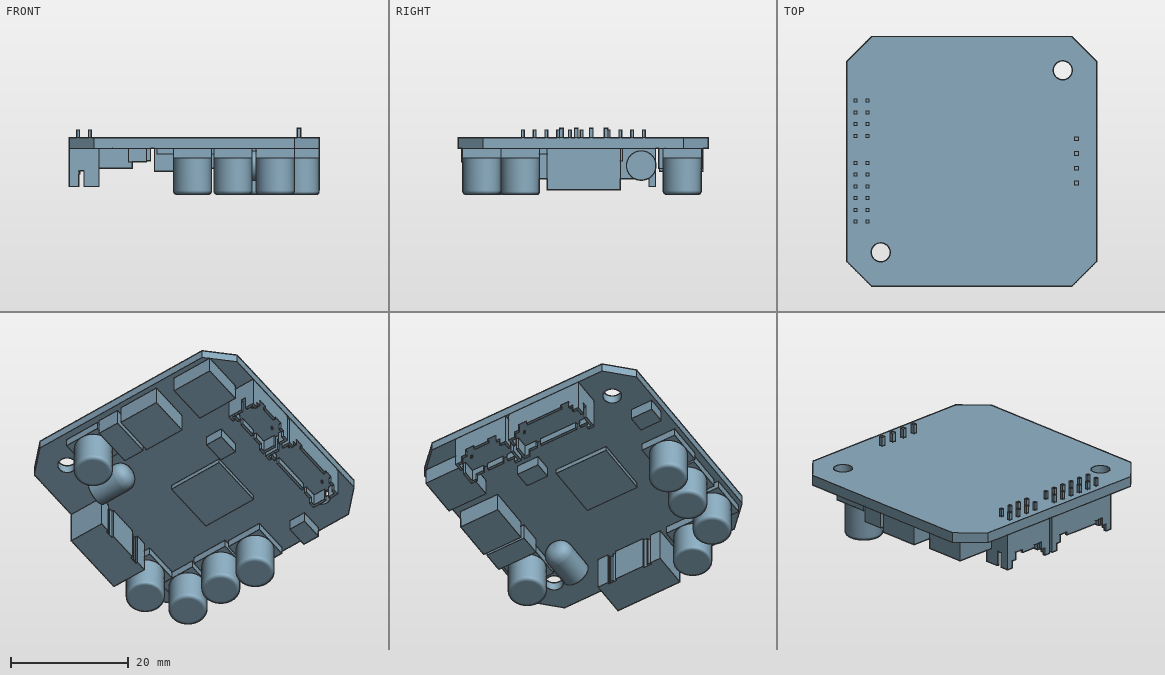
import cadquery as cq

BOARD_SIDE = 42.5
BOARD_THICKNESS = 1.83
BOARD_CORNER_CUT = 4.25
MOUNT_HOLE_DIAMETER = 3.2
MOUNT_HOLE_OFFSET = 15.45
BOARD_EDGE = BOARD_SIDE / 2

CAN_DIAMETER = 6.5
CAN_HEIGHT = 7.85
CAN_BASE_HEIGHT = 1.6
WIDE_RIM = 0.65
NARROW_RIM = 0.45
CAN_ROW_Y = -17.25
CAN_STEP_BACK = 0.42
CANS = [
    (-0.3, CAN_ROW_Y, WIDE_RIM),
    (6.6, CAN_ROW_Y + CAN_STEP_BACK, WIDE_RIM),
    (13.75, CAN_ROW_Y, WIDE_RIM),
    (17.98, -10.7, NARROW_RIM),
    (9.0, 16.85, WIDE_RIM),
]

COIL_SIDE = 7.45
COIL_Y = 12.9
COIL_HEIGHT = 3.4
TALL_COIL_HEIGHT = 3.9
CHIP_SIDE = 10.0
CHIP_HEIGHT = 0.98
SMALL_BLOCK_LENGTH = 4.1
BLOCKS = [
    (-17.95, COIL_Y, COIL_SIDE, COIL_SIDE, COIL_HEIGHT),
    (-6.75, COIL_Y, COIL_SIDE, COIL_SIDE, TALL_COIL_HEIGHT),
    (1.5, 12.8, 3.82, COIL_SIDE, COIL_HEIGHT),
    (-6.3, -8.5, CHIP_SIDE, CHIP_SIDE, CHIP_HEIGHT),
    (-11.15, -20.65, 3.05, SMALL_BLOCK_LENGTH, 2.3),
    (-10.45, 2.55, 3.05, SMALL_BLOCK_LENGTH, 2.12),
]

ROW_PITCH = 2.0
ROW_PIN_SIDE = 0.5
ROW_PIN_RISE = 1.3
FIRST_ROW_X = -19.7
ROW_PIN_X = (FIRST_ROW_X, FIRST_ROW_X + ROW_PITCH)
SHELL_WIDTH = 5.1
SHELL_HEIGHT = 6.5
SHELL_LEG = 1.15
SHELL_BODY_DEPTH = 5.2
SHELL_WALL = 0.42
SLOT_OFFSET = 1.65
SLOT_WIDTH = 0.85
SLOT_TOP = 3.82
WALL_MIDDLE_DEPTH = 4.38
WINDOW_START = 1.95
WINDOW_END = 3.55
PASSAGE_START = 2.65
PASSAGE_END = 3.45
LATCH_END = 2.3
LATCH_THICKNESS = 0.15
SMALL_CONNECTOR = (7.3, 4)
LARGE_CONNECTOR = (-5.25, 6)

SIDE_PITCH = 2.5
SIDE_PIN_COUNT = 4
SIDE_PIN_SIDE = 0.65
SIDE_PIN_RISE = 1.6
SIDE_PIN_X = 17.8
SIDE_CENTER_Y = 0.1
SIDE_DEPTH = 6.38
SIDE_LENGTH = 12.4
SIDE_HEIGHT = 7.05
CHANNEL_INNER = 2.75
CHANNEL_OUTER = 4.25
CHANNEL_DEPTH = 0.35
POCKET_INNER = 3.4
POCKET_OUTER = 4.1
POCKET_DEPTH = 2 * CHANNEL_DEPTH
POCKET_HEIGHT = 6.67

LAMP_DIAMETER = 5.0
LAMP_NOSE_X = 6.15
LAMP_LENGTH = 7.22
LAMP_NOSE_ROUND = 2.0
LAMP_Y = 9.85
LAMP_Z = -2.95


def hanging_box(x, y, x_size, y_size, top_depth, bottom_depth):
    """Box from its smallest X and Y, between two depths below the board."""
    box = cq.Workplane("XY").box(x_size, y_size, bottom_depth - top_depth, centered=False)
    return box.translate((x, y, -bottom_depth))


def pin_box(x, y, side, rise):
    """Square pin from the board's underside to its tip above the board."""
    pin = cq.Workplane("XY").box(side, side, BOARD_THICKNESS + rise, centered=(True, True, False))
    return pin.translate((x, y, 0))


def spread(center, count, pitch):
    """Evenly pitched positions around a centre."""
    return [center + (i - (count - 1) / 2) * pitch for i in range(count)]


def row_pins(connector):
    center_y, count = connector
    return [
        pin_box(x, y, ROW_PIN_SIDE, ROW_PIN_RISE)
        for x in ROW_PIN_X
        for y in spread(center_y, count, ROW_PITCH)
    ]


def side_pins():
    return [
        pin_box(SIDE_PIN_X, y, SIDE_PIN_SIDE, SIDE_PIN_RISE)
        for y in spread(SIDE_CENTER_Y, SIDE_PIN_COUNT, SIDE_PITCH)
    ]


def make_can(x, y, rim):
    radius = CAN_DIAMETER / 2
    base = hanging_box(x - radius, y - radius, CAN_DIAMETER, CAN_DIAMETER, 0, CAN_BASE_HEIGHT)
    can = cq.Workplane("XY").circle(radius).extrude(-CAN_HEIGHT)
    can = can.faces("<Z").edges().fillet(rim)
    return base.union(can.translate((x, y, 0)))


def make_board():
    """Board with its pin holes and the surface-mounted parts that are one piece with it."""
    board = cq.Workplane("XY").rect(BOARD_SIDE, BOARD_SIDE).extrude(BOARD_THICKNESS)
    board = board.edges("|Z").chamfer(BOARD_CORNER_CUT)
    hole_places = [(offset, offset) for offset in (-MOUNT_HOLE_OFFSET, MOUNT_HOLE_OFFSET)]
    holes = cq.Workplane("XY").pushPoints(hole_places).circle(MOUNT_HOLE_DIAMETER / 2).extrude(BOARD_THICKNESS)
    board = board.cut(holes)
    for pin in row_pins(SMALL_CONNECTOR) + row_pins(LARGE_CONNECTOR) + side_pins():
        board = board.cut(pin)
    for x, y, x_size, y_size, height in BLOCKS:
        board = board.union(hanging_box(x, y, x_size, y_size, 0, height))
    for x, y, rim in CANS:
        board = board.union(make_can(x, y, rim))
    return board


def make_row_connector(connector):
    """Two-row connector: open-bottomed shell with end slots, windows and latches, and its pins."""
    center_y, count = connector
    length = (count + 1) * ROW_PITCH
    start_y = center_y - length / 2
    wall_x = -BOARD_EDGE
    slot_x = wall_x + SLOT_OFFSET

    def part(x, x_size, start, end, top_depth, bottom_depth=SHELL_HEIGHT):
        return hanging_box(x, start_y + start, x_size, end - start, top_depth, bottom_depth)

    def both_ends(x, x_size, start, end, top_depth, bottom_depth=SHELL_HEIGHT):
        near = part(x, x_size, start, end, top_depth, bottom_depth)
        return near.union(part(x, x_size, length - end, length - start, top_depth, bottom_depth))

    cavity_width = SHELL_WIDTH - 2 * SHELL_WALL
    shell = part(wall_x, SHELL_WIDTH, 0, length, 0)
    shell = shell.cut(part(wall_x + SHELL_WALL, cavity_width, SHELL_WALL, length - SHELL_WALL, SLOT_TOP))
    shell = shell.cut(part(wall_x, SHELL_WIDTH, SHELL_LEG, length - SHELL_LEG, SHELL_BODY_DEPTH))
    shell = shell.cut(part(slot_x, SLOT_WIDTH, 0, length, SLOT_TOP))
    shell = shell.cut(both_ends(wall_x, SHELL_WALL, WINDOW_START, WINDOW_END, SLOT_TOP))
    shell = shell.cut(both_ends(wall_x, SHELL_WIDTH, PASSAGE_START, PASSAGE_END, SLOT_TOP))
    shell = shell.cut(part(wall_x, SHELL_WALL, WINDOW_END, length - WINDOW_END, WALL_MIDDLE_DEPTH))
    shell = shell.union(
        both_ends(slot_x, LATCH_THICKNESS, WINDOW_START, LATCH_END, SLOT_TOP, WALL_MIDDLE_DEPTH)
    )
    for pin in row_pins(connector):
        shell = shell.union(pin)
    return shell


def make_side_connector():
    """Single-row connector with two stepped grooves on its inner face, and its pins."""
    inner_x = BOARD_EDGE - SIDE_DEPTH
    shell = hanging_box(inner_x, SIDE_CENTER_Y - SIDE_LENGTH / 2, SIDE_DEPTH, SIDE_LENGTH, 0, SIDE_HEIGHT)
    channel = hanging_box(
        inner_x, CHANNEL_INNER, CHANNEL_DEPTH, CHANNEL_OUTER - CHANNEL_INNER, 0, SIDE_HEIGHT
    )
    pocket = hanging_box(
        inner_x, POCKET_INNER, POCKET_DEPTH, POCKET_OUTER - POCKET_INNER, 0, POCKET_HEIGHT
    )
    groove = channel.union(pocket)
    for one_groove in (groove, groove.mirror("XZ")):
        shell = shell.cut(one_groove.translate((0, SIDE_CENTER_Y, 0)))
    for pin in side_pins():
        shell = shell.union(pin)
    return shell


def make_lamp():
    lamp = cq.Workplane("YZ").circle(LAMP_DIAMETER / 2).extrude(LAMP_LENGTH)
    lamp = lamp.faces("<X").edges().fillet(LAMP_NOSE_ROUND)
    return lamp.translate((LAMP_NOSE_X, LAMP_Y, LAMP_Z))


board = make_board()
row_connectors = [make_row_connector(c) for c in (SMALL_CONNECTOR, LARGE_CONNECTOR)]
side_connector = make_side_connector()
lamp = make_lamp()

result = cq.Compound.makeCompound(
    [board.val(), *[c.val() for c in row_connectors], side_connector.val(), lamp.val()]
)